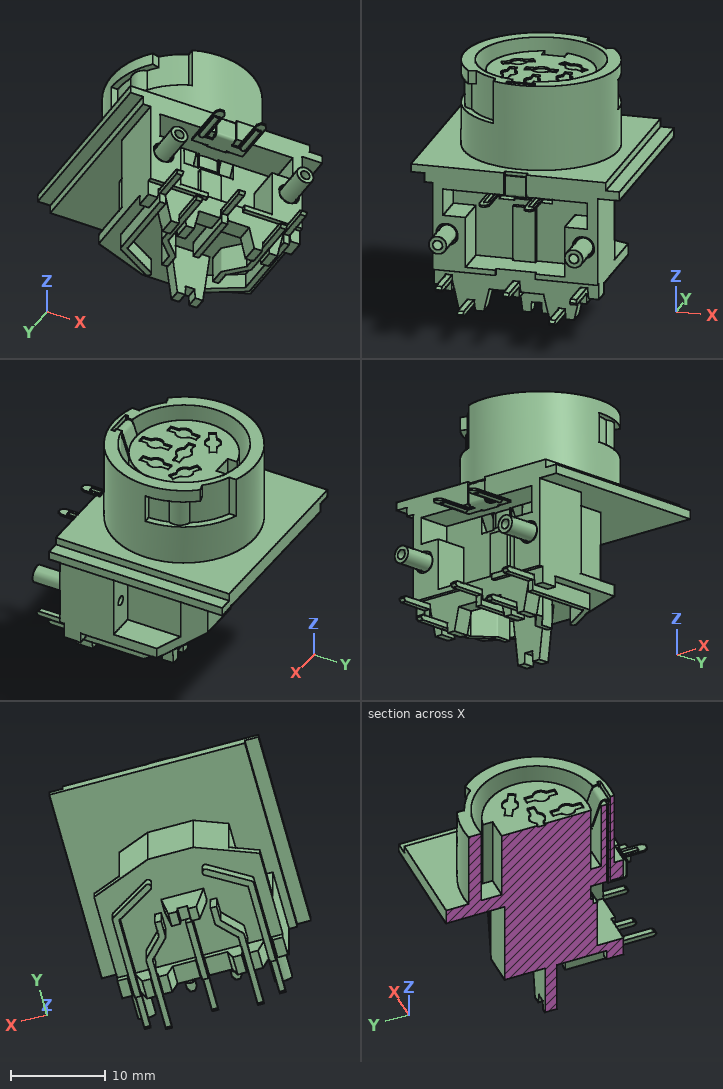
import cadquery as cq
import math


flange_back, flange_front = 11.0, -10.0
flange_half_width = 11.5
flange_step_x = 10.0
flange_step_z = -0.9
flange_bottom = -1.9

barrel_diameter = 17.0
barrel_height = 9.45
bore_radius = 7.0
bore_flat = 6.86
insert_radius = 5.85
insert_top = 8.3
ring_gap_floor = 0.0
key_half_width = 1.25
key_depth_y = 4.6

contact_openings = [
    (0.0, 0.0, 0.0),
    (0.0, -3.45, 90.0),
    (-3.05, -1.75, 90.0),
    (3.05, -1.75, 90.0),
    (-3.05, 1.8, 30.0),
    (3.05, 1.8, -30.0),
]
opening_diameter = 1.75
opening_length, opening_width = 3.5, 0.8
opening_depth = 0.2

bayonet_floor_radius = 7.73
bayonet_bottom, bayonet_top = 4.7, 7.97
bayonet_entry_x = -3.0
lip_end_inner = (-5.62, -5.29)
lip_end_outer = (-6.45, -5.54)
detent_start = (-7.38, -2.29)
detent_end = (-6.45, -4.26)
detent_radius = 1.4

body_half_width = 9.1
body_bottom = -12.23
body_back = 4.24
back_flat_half_width = 2.5
back_corner_y = 1.74
side_recess_x = 6.02
side_recess_front = -3.5
side_recess_floor = -10.97
front_step_y = -9.5
front_step_z = -11.64

pocket_top, pocket_floor = -2.5, -11.05
pocket_back = -6.0
pocket_half_width, wing_half_width = 5.47, 7.95
wing_floor = -5.44
sill_half_width = 2.2
pillar_half_width, pillar_top, pillar_depth = 1.24, -4.95, 0.5
window_half_width, window_bottom = 1.15, -4.26
niche_inner_x, niche_outer_x, niche_bottom = 1.24, 2.92, -4.44
niche_depth, niche_ramp_inner_x = 1.0, 1.48

post_x, post_z = 7.52, -7.55
post_sizes = [(-post_x, 1.95, 3.55), (post_x, 1.98, 3.65)]
post_hole_diameter = 1.05
post_ring_diameter, post_ring_depth = 2.4, 0.3

wall_back_y = -7.5
wall_bottom = -13.43
tooth_bottom = -16.0
tooth_x = 5.0
tooth_outer_x, tooth_inner_x, tooth_inner_root_x = 6.37, 3.6, 3.0
fork_half_width, fork_half_foot = 0.36, 0.43
side_slot_outer_x, side_slot_outer_foot_x, side_slot_inner_x = 7.85, 7.97, 7.2
middle_slot_half_width, middle_slot_half_foot = 0.36, 0.48
middle_tooth_half_root, middle_tooth_half_tip = 2.33, 1.54
middle_fork_half_width, middle_fork_half_foot, middle_fork_top = 0.54, 0.6, -17.28
middle_tooth_bottom = -18.45
middle_tooth_front, middle_tooth_back = -1.81, -0.41

blade_thickness = 0.68
outer_contact_x, inner_contact_x = 7.42, 5.05
pin_height = 0.6
pin_tip_length = 0.3
outer_blade_bottom, outer_blade_front = -14.02, -9.6
outer_blade_start, outer_bend_y = (-3.15, 1.75), -0.78
outer_pin_top, outer_pin_end = -12.23, -13.65
middle_blade_back = -3.1
inner_blade_bottom, inner_blade_front = -15.42, -7.0
inner_blade_start_x = 3.05
inner_first_bend_y, inner_second_bend_y = -3.55, -5.6
inner_pin_top, inner_pin_end = -14.82, -13.55

sheet_thickness = 0.2
strip_half_width = 1.15
tab_front, tab_top = -9.95, -0.3
bend_radius = 0.4
leg_front = -7.9
arch_top, arch_radius = 9.3, 0.6
tongue_tip_y = -5.87
tongue_tilt = math.radians(18)
spring_slot_half_width = 1.55
spring_slot_front, spring_slot_back = -7.95, -7.6
rim_notch_floor = 8.5
tab_notch_half_width = 1.24
plate_half_width, plate_front = 3.03, -9.0
tail_x, tail_width, tail_end = 2.48, 1.1, -13.7
tail_tip_width, tail_taper = 0.5, 0.45
bead_rib_radius, bead_end = 0.4, -12.7
bead_groove_radius = 0.22


def box(x0, x1, y0, y1, z0, z1):
    return cq.Workplane("XY").box(x1 - x0, y1 - y0, z1 - z0, centered=False).translate((x0, y0, z0))


def prism_z(points, z0, z1):
    return cq.Workplane("XY").workplane(offset=z0).polyline(points).close().extrude(z1 - z0)


def prism_y(points, y0, y1):
    """Extrudes an X-Z outline from y0 (front) to y1 (back)."""
    return cq.Workplane("XZ", origin=(0, y1, 0)).polyline(points).close().extrude(y1 - y0)


def cylinder_z(radius, z0, z1):
    return cq.Workplane("XY").workplane(offset=z0).circle(radius).extrude(z1 - z0)


def cylinder_y(radius, x, z, y0, y1):
    return cq.Workplane("XZ", origin=(x, y1, z)).circle(radius).extrude(y1 - y0)


def both_sides(shape):
    return shape.union(shape.mirror("YZ"))


def make_flange():
    upper = box(-flange_half_width, flange_step_x, flange_front, flange_back, flange_step_z, 0)
    lower = box(-flange_step_x, flange_half_width, flange_front, flange_back, flange_bottom, flange_step_z)
    return upper.union(lower)


def bayonet_slot():
    """Slot open to the rim at one end, with a rounded detent on its floor."""
    reach = barrel_diameter
    lip_slope = (lip_end_outer[1] - lip_end_inner[1]) / (lip_end_outer[0] - lip_end_inner[0])
    lip_y_at_entry = lip_end_inner[1] + lip_slope * (bayonet_entry_x - lip_end_inner[0])
    lip_y_at_reach = lip_end_inner[1] + lip_slope * (-reach - lip_end_inner[0])
    run = box(-reach, bayonet_entry_x, -reach, 0, bayonet_bottom, bayonet_top)
    entry_outline = [(bayonet_entry_x, lip_y_at_entry), (-reach, lip_y_at_reach),
                     (-reach, -reach), (bayonet_entry_x, -reach)]
    opening = prism_z(entry_outline, bayonet_bottom, barrel_height)
    slot = run.union(opening).cut(cylinder_z(bayonet_floor_radius, 0, barrel_height))
    detent = (
        cq.Workplane("XY").workplane(offset=bayonet_bottom)
        .moveTo(0, 0).lineTo(*detent_end)
        .radiusArc(detent_start, detent_radius).close()
        .extrude(bayonet_top - bayonet_bottom)
    )
    return slot.cut(detent)


def make_barrel():
    barrel = cylinder_z(barrel_diameter / 2, 0, barrel_height)
    barrel = barrel.cut(cylinder_z(bore_radius, ring_gap_floor, barrel_height))
    flat = box(-spring_slot_half_width, spring_slot_half_width, spring_slot_back, -bore_flat, 0, barrel_height)
    barrel = barrel.union(flat)
    slot = bayonet_slot()
    return barrel.cut(slot).cut(slot.rotate((0, 0, 0), (0, 0, 1), 180))


def make_insert():
    insert = cylinder_z(insert_radius, 0, insert_top)
    insert = insert.cut(box(-key_half_width, key_half_width, key_depth_y, insert_radius, 0, insert_top))
    for x, y, turn in contact_openings:
        opening = (
            cq.Workplane("XY").workplane(offset=insert_top - opening_depth)
            .rect(opening_length, opening_width).extrude(opening_depth)
            .union(cylinder_z(opening_diameter / 2, insert_top - opening_depth, insert_top))
            .rotate((0, 0, 0), (0, 0, 1), turn).translate((x, y, 0))
        )
        insert = insert.cut(opening)
    return insert


def make_body():
    outline = [
        (-body_half_width, flange_front), (body_half_width, flange_front),
        (body_half_width, back_corner_y), (back_flat_half_width, body_back),
        (-back_flat_half_width, body_back), (-body_half_width, back_corner_y),
    ]
    body = prism_z(outline, body_bottom, flange_bottom)
    recess = box(side_recess_x, body_half_width, side_recess_front, body_back, side_recess_floor, flange_bottom)
    front_step = box(-body_half_width, body_half_width, flange_front, front_step_y, body_bottom, front_step_z)
    return body.cut(both_sides(recess)).cut(front_step)


def front_pocket():
    """T-shaped pocket with a pillar on its back wall."""
    wide = box(-wing_half_width, wing_half_width, flange_front, pocket_back, wing_floor, pocket_top)
    deep = box(-pocket_half_width, pocket_half_width, flange_front, pocket_back, pocket_floor, pocket_top)
    sill = box(-sill_half_width, sill_half_width, flange_front, front_step_y, front_step_z, pocket_floor)
    pillar = box(-pillar_half_width, pillar_half_width, pocket_back - pillar_depth, pocket_back,
                 pocket_floor, pillar_top)
    return wide.union(deep).union(sill).cut(pillar)


def back_wall_window():
    """Opening that bares the round insert, with a ramped niche on each side."""
    window = box(-window_half_width, window_half_width, pocket_back, 0, window_bottom, pocket_top)
    window = window.cut(cylinder_z(insert_radius, window_bottom, pocket_top))
    niche = box(niche_inner_x, niche_outer_x, pocket_back, pocket_back + niche_depth, niche_bottom, pocket_top)
    ramp = (
        cq.Workplane("YZ", origin=(niche_ramp_inner_x, 0, 0))
        .polyline([(pocket_back, pocket_top), (pocket_back + niche_depth, pocket_top),
                   (pocket_back + niche_depth, niche_bottom)]).close()
        .extrude(niche_outer_x - niche_ramp_inner_x)
    )
    return window.union(both_sides(niche.cut(ramp)))


def make_toothed_wall():
    """Wall under the front edge, with two forked teeth and slots for the pins."""
    right_half = [
        (0, front_step_z), (body_half_width, front_step_z), (body_half_width, wall_bottom),
        (side_slot_outer_foot_x, wall_bottom), (side_slot_outer_x, body_bottom),
        (side_slot_inner_x, body_bottom), (tooth_outer_x, tooth_bottom),
        (tooth_x + fork_half_foot, tooth_bottom), (tooth_x + fork_half_width, inner_pin_top),
        (tooth_x - fork_half_width, inner_pin_top), (tooth_x - fork_half_foot, tooth_bottom),
        (tooth_inner_x, tooth_bottom), (tooth_inner_root_x, wall_bottom), (0, wall_bottom),
    ]
    wall = both_sides(prism_y(right_half, front_step_y, wall_back_y))
    middle_slot = [
        (-middle_slot_half_width, body_bottom), (middle_slot_half_width, body_bottom),
        (middle_slot_half_foot, wall_bottom), (-middle_slot_half_foot, wall_bottom),
    ]
    return wall.cut(prism_y(middle_slot, front_step_y, wall_back_y))


def make_middle_tooth():
    outline = [
        (-middle_tooth_half_root, body_bottom), (middle_tooth_half_root, body_bottom),
        (middle_tooth_half_tip, middle_tooth_bottom), (middle_fork_half_foot, middle_tooth_bottom),
        (middle_fork_half_width, middle_fork_top), (-middle_fork_half_width, middle_fork_top),
        (-middle_fork_half_foot, middle_tooth_bottom), (-middle_tooth_half_tip, middle_tooth_bottom),
    ]
    return prism_y(outline, middle_tooth_front, middle_tooth_back)


def blade(path, front, back, z0):
    """Upright blade along a path of points, hanging from the body and cut square at its front and back."""
    beyond = (path[-1][0], front - blade_thickness)
    upright = (
        cq.Workplane("XY").workplane(offset=z0).polyline(path + [beyond])
        .offset2D(blade_thickness / 2).extrude(body_bottom - z0)
    )
    return upright.intersect(box(-body_half_width, body_half_width, front, back, z0, body_bottom))


def make_pin(x, top, start, end):
    bottom = top - pin_height
    shoulder = end + pin_tip_length
    return (
        cq.Workplane("YZ", origin=(x - blade_thickness / 2, 0, 0))
        .polyline([(start, top), (shoulder, top), (end, top - pin_height / 2),
                   (shoulder, bottom), (start, bottom)]).close()
        .extrude(blade_thickness)
    )


def make_contacts():
    outer_path = [outer_blade_start, (-outer_contact_x, outer_bend_y)]
    outer = blade(outer_path, outer_blade_front, body_back, outer_blade_bottom)
    outer = outer.union(make_pin(-outer_contact_x, outer_pin_top, outer_blade_front, outer_pin_end))
    inner_path = [(-inner_blade_start_x, middle_tooth_back), (-inner_blade_start_x, inner_first_bend_y),
                  (-inner_contact_x, inner_second_bend_y)]
    inner = blade(inner_path, inner_blade_front, middle_tooth_front, inner_blade_bottom)
    inner = inner.union(make_pin(-inner_contact_x, inner_pin_top, inner_blade_front, inner_pin_end))
    middle = box(-blade_thickness / 2, blade_thickness / 2, outer_blade_front, middle_blade_back,
                 outer_blade_bottom, body_bottom)
    middle = middle.union(make_pin(0, outer_pin_top, outer_blade_front, outer_pin_end))
    return both_sides(outer.union(inner)).union(middle)


def add_posts(housing):
    """Hollow posts, each in a shallow ring recess, with the hole running through the front wall."""
    for x, diameter, length in post_sizes:
        tip = flange_front - length
        ring_floor = flange_front + post_ring_depth
        housing = housing.cut(cylinder_y(post_ring_diameter / 2, x, post_z, flange_front, ring_floor))
        housing = housing.union(cylinder_y(diameter / 2, x, post_z, tip, ring_floor))
        housing = housing.cut(cylinder_y(post_hole_diameter / 2, x, post_z, tip, body_back))
    return housing


def spring_passage():
    """Slots in the flange, barrel wall and rim that hold the shield spring."""
    tab_notch = box(-tab_notch_half_width, tab_notch_half_width, flange_front, front_step_y, pocket_top, 0)
    leg_slot = box(-spring_slot_half_width, spring_slot_half_width, spring_slot_front, spring_slot_back,
                   pocket_top, barrel_height)
    rim_notch = box(-strip_half_width, strip_half_width, spring_slot_back, -insert_radius,
                    rim_notch_floor, barrel_height)
    return tab_notch.union(leg_slot).union(rim_notch.cut(cylinder_z(insert_radius, 0, insert_top)))


def make_housing():
    housing = make_flange().union(make_body()).union(make_barrel()).union(make_insert())
    housing = housing.cut(front_pocket()).cut(back_wall_window())
    housing = housing.union(make_toothed_wall()).union(make_middle_tooth()).union(make_contacts())
    return add_posts(housing).cut(spring_passage())


def make_shield_strip():
    """Bent strip: tab in the flange notch, run along the pocket top, leg in the barrel, hook at the rim."""
    plate_bottom = pocket_top - sheet_thickness
    leg_back = leg_front + sheet_thickness
    arch_y = leg_front + arch_radius
    arch_z = arch_top - arch_radius

    def arch_point(radius, angle):
        return (arch_y + radius * math.cos(angle), arch_z + radius * math.sin(angle))

    def tongue_end(radius):
        start_y, start_z = arch_point(radius, tongue_tilt)
        return (tongue_tip_y, start_z - (tongue_tip_y - start_y) / math.tan(tongue_tilt))

    inner_radius = arch_radius - sheet_thickness
    bend_inner = bend_radius - sheet_thickness
    outline = (
        cq.Workplane("YZ", origin=(-strip_half_width, 0, 0))
        .moveTo(tab_front, tab_top).lineTo(tab_front, plate_bottom + bend_radius)
        .radiusArc((tab_front + bend_radius, plate_bottom), -bend_radius)
        .lineTo(leg_back, plate_bottom).lineTo(leg_back, arch_z)
        .threePointArc(arch_point(inner_radius, math.pi / 2), arch_point(inner_radius, tongue_tilt))
        .lineTo(*tongue_end(inner_radius)).lineTo(*tongue_end(arch_radius))
        .lineTo(*arch_point(arch_radius, tongue_tilt))
        .threePointArc(arch_point(arch_radius, math.pi / 2), (leg_front, arch_z))
        .lineTo(leg_front, pocket_top).lineTo(tab_front + bend_radius, pocket_top)
        .radiusArc((tab_front + sheet_thickness, pocket_top + bend_inner), bend_inner)
        .lineTo(tab_front + sheet_thickness, tab_top).close()
    )
    return outline.extrude(2 * strip_half_width)


def make_tail(x):
    """Flat tail with a tapered tip and a pressed bead: a groove on top, a rib below."""
    half, tip_half = tail_width / 2, tail_tip_width / 2
    shoulder = tail_end + tail_taper
    outline = [(x - half, plate_front), (x - half, shoulder), (x - tip_half, tail_end),
               (x + tip_half, tail_end), (x + half, shoulder), (x + half, plate_front)]
    tail = prism_z(outline, pocket_top - sheet_thickness, pocket_top)
    lower_half = box(x - half, x + half, bead_end, plate_front, pocket_top - half, pocket_top)
    rib = cylinder_y(bead_rib_radius, x, pocket_top, bead_end, plate_front).intersect(lower_half)
    groove = cylinder_y(bead_groove_radius, x, pocket_top, bead_end, plate_front)
    return tail.union(rib).cut(groove)


def make_shield():
    plate = box(-plate_half_width, plate_half_width, plate_front, leg_front,
                pocket_top - sheet_thickness, pocket_top)
    shield = make_shield_strip().union(plate)
    for x in (-tail_x, tail_x):
        shield = shield.union(make_tail(x))
    return shield


housing = make_housing()
shield = make_shield()
result = cq.Compound.makeCompound([*housing.solids().vals(), *shield.solids().vals()])